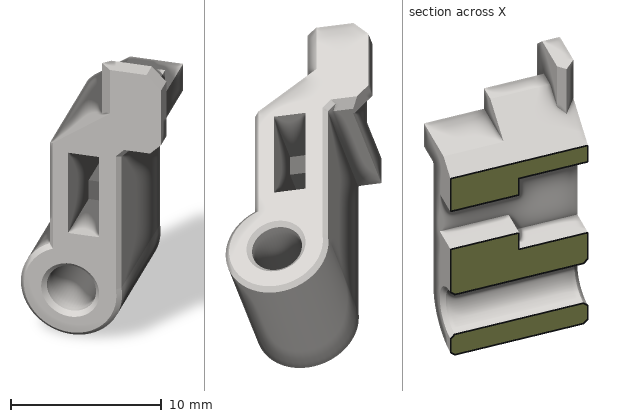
import cadquery as cq
import math

depth = 9.75
boss_radius = 3.5
bore_diameter = 3.4
edge_chamfer = 0.3

shank_left = -1.5
shank_right = 3.45
slope_foot_z = 10.73
slope_angle = 35.5
flare = 0.27

head_left = 2.73
head_right = 4.95
head_top = 14.5
step_top = 12.73
step_y = 5.49

finger_right = 6.27
finger_top = 17.06
finger_thickness = 1.25
finger_tip_y = 0.76
finger_tip_x = 1.97
finger_top_chamfer = 1.0
finger_bottom_chamfer = 1.2
underside_rise = 0.43

window_left = -0.15
window_width = 2.14
pocket_bottom = 4.3
pocket_height = 6.07
opening_height = 3.23
pocket_depth = depth / 2

boss_left_z = math.sqrt(boss_radius**2 - shank_left**2)
boss_right_z = math.sqrt(boss_radius**2 - shank_right**2)


def slope_z(x):
    """Height of the sloping back of the lever at a given X."""
    return slope_foot_z + (x - shank_left) * math.tan(math.radians(slope_angle))


def slope_x(z):
    """X of the sloping back of the lever at a given height."""
    return shank_left + (z - slope_foot_z) / math.tan(math.radians(slope_angle))


def block(left, right, front, back, bottom, top):
    """Box given by its limits along X, Y and Z."""
    return cq.Workplane("XY").box(right - left, back - front, top - bottom, centered=False).translate(
        (left, front, bottom)
    )


def make_shank():
    overlap = underside_rise + edge_chamfer
    flare_end = flare + overlap
    flare_foot_z = slope_foot_z - flare
    shank = (
        cq.Workplane("XZ")
        .moveTo(shank_left, boss_left_z)
        .threePointArc((0, -boss_radius), (shank_right, boss_right_z))
        .lineTo(shank_right, flare_foot_z)
        .lineTo(shank_right + flare_end, flare_foot_z + flare_end)
        .lineTo(head_left, slope_z(head_left))
        .lineTo(shank_left, slope_foot_z)
        .close()
        .extrude(-depth)
    )
    flank_middle_z = (boss_left_z + slope_foot_z) / 2
    right_middle_z = (boss_right_z + flare_foot_z) / 2
    rim_points = [
        (0, -boss_radius),
        (shank_left, flank_middle_z),
        (shank_right, right_middle_z),
        (shank_right + flare_end / 2, flare_foot_z + flare_end / 2),
    ]
    rim_edges = [
        shank.edges(cq.selectors.NearestToPointSelector((x, y, z))).val()
        for y in (0, depth)
        for x, z in rim_points
    ]
    return shank.newObject(rim_edges).chamfer(edge_chamfer)


def make_head():
    return (
        cq.Workplane("XZ")
        .moveTo(head_left, slope_foot_z)
        .lineTo(head_right, slope_foot_z)
        .lineTo(head_right, head_top)
        .lineTo(slope_x(head_top), head_top)
        .lineTo(head_left, slope_z(head_left))
        .close()
        .extrude(-depth)
    )


def make_head_step():
    """Space removed behind the head to leave its lower rear step."""
    return block(slope_x(step_top), head_right, step_y, depth, step_top, head_top)


def make_finger():
    back_left = finger_tip_x + finger_thickness - finger_tip_y
    return (
        cq.Workplane("XY", origin=(0, 0, slope_foot_z))
        .moveTo(finger_tip_x + finger_tip_y, 0)
        .lineTo(finger_right, 0)
        .lineTo(finger_right, finger_thickness)
        .lineTo(back_left, finger_thickness)
        .lineTo(finger_tip_x, finger_tip_y)
        .close()
        .extrude(finger_top - slope_foot_z)
        .faces(">X").edges(">Z").chamfer(finger_top_chamfer)
        .faces(">X").edges("<Z").chamfer(finger_bottom_chamfer)
    )


def make_underside_bevel():
    """Wedge that bevels the front of the overhanging underside."""
    return (
        cq.Workplane("YZ", origin=(head_left, 0, 0))
        .moveTo(0, slope_foot_z)
        .lineTo(finger_tip_y, slope_foot_z)
        .lineTo(0, slope_foot_z + underside_rise)
        .close()
        .extrude(finger_right - head_left)
    )


def make_bore():
    bore = cq.Workplane("XZ").circle(bore_diameter / 2).extrude(-depth)
    mouth_radius = bore_diameter / 2 + edge_chamfer
    for y, inward in ((0, 1), (depth, -1)):
        countersink = cq.Solid.makeCone(
            mouth_radius, bore_diameter / 2, edge_chamfer, cq.Vector(0, y, 0), cq.Vector(0, inward, 0)
        )
        bore = bore.union(cq.Workplane(countersink))
    return bore


def make_window():
    window_right = window_left + window_width
    pocket_top = pocket_bottom + pocket_height
    ledge = (pocket_height - opening_height) / 2
    pocket = block(window_left, window_right, 0, pocket_depth, pocket_bottom, pocket_top)
    opening = block(window_left, window_right, 0, depth, pocket_bottom + ledge, pocket_top - ledge)
    return pocket.union(opening)


overhang = make_head().union(make_finger()).cut(make_underside_bevel())
lever = make_shank().union(overhang).cut(make_head_step())
result = lever.cut(make_bore()).cut(make_window())